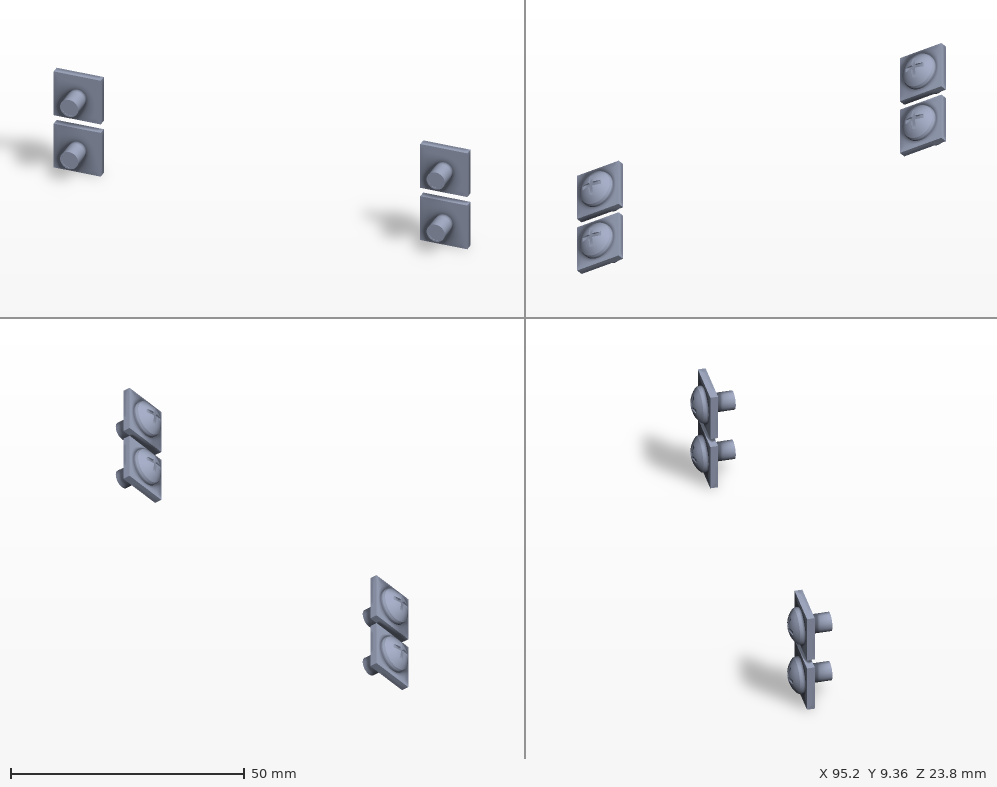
import cadquery as cq

overall_length = 95.2
overall_height = 23.8

plate_side = 10.85
plate_thickness = 1.7

shank_diameter = 4.2
shank_reach = 4.8
tip_recess_diameter = 3.4
tip_recess_depth = 0.1
head_diameter = 8.2
head_height = 2.9
rim_height = 0.6
shoulder_diameter = 7.8
shoulder_height = 1.1

recess_length = 6.7
recess_width = 0.95
recess_depth = 0.6

column_offset = (overall_length - plate_side) / 2
row_offset = (overall_height - plate_side) / 2


def make_plate(x, z):
    """Square plate from y = -plate_thickness to y = 0, with a hole that fits the shank."""
    plate = cq.Workplane("XY").box(plate_side, plate_thickness, plate_side)
    plate = plate.faces("<Y").workplane().hole(shank_diameter)
    return plate.translate((x, -plate_thickness / 2, z))


def make_screw_blank():
    """Turned shape of the screw, seated at y = 0: shank with a recessed tip, and domed head."""
    tip_y = -(plate_thickness + shank_reach)
    recess_floor_y = tip_y + tip_recess_depth
    tip_recess_radius = tip_recess_diameter / 2
    shank_radius = shank_diameter / 2
    head_radius = head_diameter / 2
    shoulder_radius = shoulder_diameter / 2

    dome_rise = head_height - shoulder_height
    dome_radius = (shoulder_radius**2 + dome_rise**2) / (2 * dome_rise)
    dome_center_y = head_height - dome_radius
    dome_mid_x = shoulder_radius / 2
    dome_mid_y = dome_center_y + (dome_radius**2 - dome_mid_x**2) ** 0.5

    return (
        cq.Workplane("XY")
        .moveTo(0, recess_floor_y)
        .lineTo(tip_recess_radius, recess_floor_y)
        .lineTo(tip_recess_radius, tip_y)
        .lineTo(shank_radius, tip_y)
        .lineTo(shank_radius, 0)
        .lineTo(head_radius, 0)
        .lineTo(head_radius, rim_height)
        .lineTo(shoulder_radius, shoulder_height)
        .threePointArc((dome_mid_x, dome_mid_y), (0, head_height))
        .close()
        .revolve(360, (0, 0, 0), (0, 1, 0))
    )


def make_cross_recess():
    """Two crossed bars, along X and along Z, sunk into the top of the head."""
    bar_along_x = cq.Workplane("XY").box(recess_length, recess_depth, recess_width)
    bar_along_z = cq.Workplane("XY").box(recess_width, recess_depth, recess_length)
    return bar_along_x.union(bar_along_z).translate((0, head_height - recess_depth / 2, 0))


def make_screw(x, z):
    """Screw with a cross recess, on the axis of the plate at the same place."""
    return make_screw_blank().cut(make_cross_recess()).translate((x, 0, z))


plates = []
screws = []
for x in (-column_offset, column_offset):
    for z in (-row_offset, row_offset):
        plates.append(make_plate(x, z).val())
        screws.append(make_screw(x, z).val())

result = cq.Compound.makeCompound([*plates, *screws])